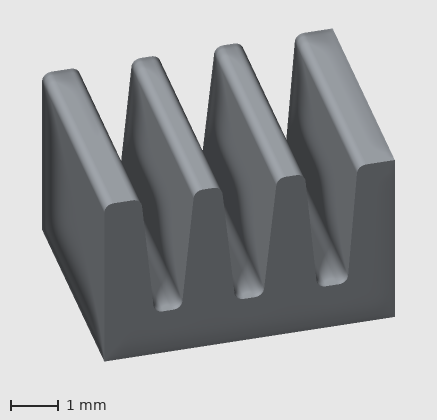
import cadquery as cq

length_x = 5.0
width_y = 6.3
height_z = 4.0

base_thickness = 1.05
edge_radius = 0.2

grooves = [
    {"top": (-2.35, -1.2), "floor": (-2.065, -1.475)},
    {"top": (-0.605, 0.6), "floor": (-0.31, 0.295)},
    {"top": (1.2, 2.345), "floor": (1.47, 2.12)},
]


def make_block():
    """Plain block with its upper front edge rounded."""
    block = cq.Workplane("XY").box(length_x, width_y, height_z, centered=(True, True, False))
    return block.edges("<Y and >Z").fillet(edge_radius)


def cut_groove(body, top, floor):
    """Cut one groove through the full length and round its mouth and floor edges."""
    groove = (
        cq.Workplane("YZ")
        .polyline([
            (top[0], height_z),
            (floor[0], base_thickness),
            (floor[1], base_thickness),
            (top[1], height_z),
        ])
        .close()
        .extrude(length_x / 2, both=True)
    )
    body = body.cut(groove)
    corners = [(y, height_z) for y in top] + [(y, base_thickness) for y in floor]
    for y, z in corners:
        body = body.edges(cq.selectors.NearestToPointSelector((0, y, z))).fillet(edge_radius)
    return body


result = make_block()
for groove_walls in grooves:
    result = cut_groove(result, groove_walls["top"], groove_walls["floor"])